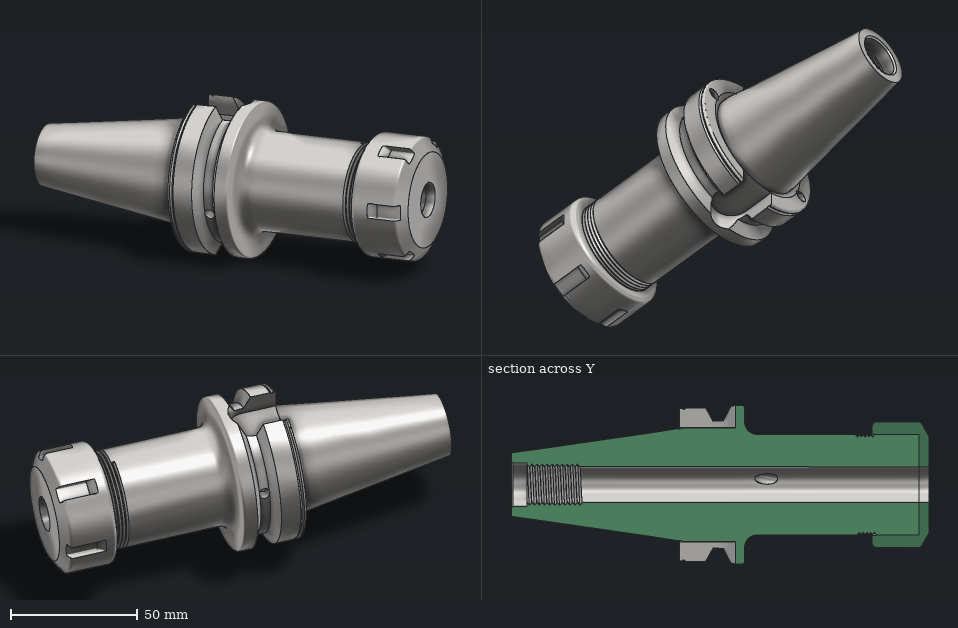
import cadquery as cq
import math


TAPER_LENGTH = 65.4
GAUGE_RADIUS = 44.45 / 2
TAPER_END_RADIUS = GAUGE_RADIUS - TAPER_LENGTH * 7 / 48
TAPER_END_X = -TAPER_LENGTH

FLANGE_START_X = 1.0
FLANGE_END_X = 27.0
FLANGE_RADIUS = 31.5
FLANGE_ROUNDING = 1.0
GROOVE_CENTRE_X = 16.5
GROOVE_FLOOR_RADIUS = 26.5
GROOVE_FLOOR_WIDTH = 4.0
GROOVE_FLANK_ANGLE = 30.0
GROOVE_TOP_WIDTH = (
    GROOVE_FLOOR_WIDTH
    + 2 * (FLANGE_RADIUS - GROOVE_FLOOR_RADIUS) * math.tan(math.radians(GROOVE_FLANK_ANGLE))
)

MARK_GROOVE_START_X = 2.05
MARK_GROOVE_WIDTH = 1.5
MARK_GROOVE_DEPTH = 0.6

UNDERCUT_RADIUS = 24.6
UNDERCUT_DEPTH = 1.0

KEYWAY_WIDTH = 16.3
KEYWAY_FLOOR_Z = 22.6
KEYWAY_END_X = 23.3

COOLANT_HOLE_DIAMETER = 4.5
COOLANT_PITCH_RADIUS = 26.9
COOLANT_SLOPE = 30.0
COOLANT_ANGLE = 20.0
PLUG_HOLE_DIAMETER = 4.2
COOLANT_RADIUS_AT_PLUG = COOLANT_PITCH_RADIUS - (
    (GROOVE_CENTRE_X - FLANGE_START_X) * math.tan(math.radians(COOLANT_SLOPE))
)

NECK_RADIUS = 20.0
NECK_FILLET = 5.0
THREAD_START_X = 71.6
THREAD_PITCH = 1.5
THREAD_DEPTH = 1.0
THREAD_OPENING = 0.94
THREAD_OVERCUT = 0.05

OVERALL_END_X = 100.0
NUT_START_X = 77.3
NUT_RADIUS = 25.0
NUT_REAR_ROUNDING = 2.0
NUT_FRONT_ROUNDING = 1.5
NUT_FRONT_RADIUS = 19.2
NUT_CONE_ANGLE = 60.0
NUT_CONE_LENGTH = (NUT_RADIUS - NUT_FRONT_RADIUS) / math.tan(math.radians(NUT_CONE_ANGLE))
NUT_LIP = 4.0

SLOT_COUNT = 6
SLOT_WIDTH = 6.0
SLOT_FLOOR_RADIUS = 22.3
SHORT_SLOT_START_X = 84.8
LONG_SLOT_START_X = 82.3
SLOT_RUNOUT = 3.1
SLOT_CORNER_FILLET = 0.4

BORE_RADIUS = 7.0
STUD_PILOT_RADIUS = 8.5
STUD_PILOT_DEPTH = 6.2
BORE_CHAMFER = 0.75
STUD_THREAD_PITCH = 2.0
STUD_THREAD_DEPTH = 1.0
STUD_THREAD_LENGTH = 22.0

HOLDER_END_X = OVERALL_END_X - NUT_LIP
OUTSIDE = 10.0


def revolve_about_x(profile):
    return profile.close().revolve(360, (0, 0, 0), (1, 0, 0))


def cylinder_along_x(start_x, end_x, radius):
    return cq.Workplane("YZ", origin=(start_x, 0, 0)).circle(radius).extrude(end_x - start_x)


def round_edge(body, x, radius):
    """Fillet the circular edge whose centre lies on the axis at x."""
    margin = 0.05
    near_x = cq.selectors.BoxSelector((x - margin, -margin, -margin), (x + margin, margin, margin))
    return body.edges(near_x).fillet(radius)


def helical_groove(start_x, length, pitch, root_radius, crest_radius):
    """Left-hand V-shaped thread groove as a cutter along X, starting on the +Z side.

    The cutter is widened past the crest radius so that it opens fully through the surface.
    """
    direction = math.copysign(1, crest_radius - root_radius)
    crest_half = pitch * THREAD_OPENING / 2
    open_radius = crest_radius + direction * THREAD_OVERCUT
    open_half = crest_half * (1 + THREAD_OVERCUT / abs(crest_radius - root_radius))
    helix = cq.Wire.makeHelix(pitch, length, min(root_radius, crest_radius), lefthand=True)
    cutter = (
        cq.Workplane("XZ")
        .moveTo(root_radius, 0)
        .lineTo(open_radius, open_half)
        .lineTo(open_radius, -open_half)
        .close()
        .sweep(cq.Workplane(helix), isFrenet=True)
    )
    along_x = cutter.rotate((0, 0, 0), (0, 1, 0), 90).rotate((0, 0, 0), (1, 0, 0), 180)
    return along_x.translate((start_x, 0, 0))


def holder_blank():
    half_top = GROOVE_TOP_WIDTH / 2
    half_floor = GROOVE_FLOOR_WIDTH / 2
    profile = (
        cq.Workplane("XY")
        .moveTo(TAPER_END_X, 0)
        .lineTo(TAPER_END_X, TAPER_END_RADIUS)
        .lineTo(0, GAUGE_RADIUS)
        .lineTo(FLANGE_START_X + UNDERCUT_DEPTH, GAUGE_RADIUS)
        .lineTo(FLANGE_START_X, UNDERCUT_RADIUS)
        .lineTo(FLANGE_START_X, FLANGE_RADIUS - FLANGE_ROUNDING)
        .radiusArc((FLANGE_START_X + FLANGE_ROUNDING, FLANGE_RADIUS), FLANGE_ROUNDING)
        .lineTo(MARK_GROOVE_START_X, FLANGE_RADIUS)
        .lineTo(MARK_GROOVE_START_X + MARK_GROOVE_WIDTH / 2, FLANGE_RADIUS - MARK_GROOVE_DEPTH)
        .lineTo(MARK_GROOVE_START_X + MARK_GROOVE_WIDTH, FLANGE_RADIUS)
        .lineTo(GROOVE_CENTRE_X - half_top, FLANGE_RADIUS)
        .lineTo(GROOVE_CENTRE_X - half_floor, GROOVE_FLOOR_RADIUS)
        .lineTo(GROOVE_CENTRE_X + half_floor, GROOVE_FLOOR_RADIUS)
        .lineTo(GROOVE_CENTRE_X + half_top, FLANGE_RADIUS)
        .lineTo(FLANGE_END_X - FLANGE_ROUNDING, FLANGE_RADIUS)
        .radiusArc((FLANGE_END_X, FLANGE_RADIUS - FLANGE_ROUNDING), FLANGE_ROUNDING)
        .lineTo(FLANGE_END_X, NECK_RADIUS + NECK_FILLET)
        .radiusArc((FLANGE_END_X + NECK_FILLET, NECK_RADIUS), -NECK_FILLET)
        .lineTo(HOLDER_END_X, NECK_RADIUS)
        .lineTo(HOLDER_END_X, 0)
    )
    return revolve_about_x(profile)


def keyway(side):
    """Round-ended drive keyway; side is +1 for +Z and -1 for -Z."""
    half_width = KEYWAY_WIDTH / 2
    outline = (
        cq.Workplane("XY", origin=(0, 0, side * KEYWAY_FLOOR_Z))
        .moveTo(0, -half_width)
        .lineTo(KEYWAY_END_X - half_width, -half_width)
        .threePointArc((KEYWAY_END_X, 0), (KEYWAY_END_X - half_width, half_width))
        .lineTo(0, half_width)
        .close()
    )
    return outline.extrude(side * OUTSIDE)


def coolant_hole(angle):
    """Sloping hole that starts outside the flange face and ends at the holder axis."""
    slope = math.radians(COOLANT_SLOPE)
    direction = cq.Vector(math.cos(slope), -math.sin(slope), 0)
    face_point = cq.Vector(FLANGE_START_X, COOLANT_PITCH_RADIUS, 0)
    lead_in = COOLANT_HOLE_DIAMETER
    length = lead_in + COOLANT_PITCH_RADIUS / math.sin(slope)
    hole = cq.Solid.makeCylinder(
        COOLANT_HOLE_DIAMETER / 2, length, face_point - direction * lead_in, direction
    )
    return cq.Workplane(hole).rotate((0, 0, 0), (1, 0, 0), angle)


def plug_hole(angle):
    hole = cq.Solid.makeCylinder(
        PLUG_HOLE_DIAMETER / 2,
        FLANGE_RADIUS - COOLANT_RADIUS_AT_PLUG,
        cq.Vector(GROOVE_CENTRE_X, COOLANT_RADIUS_AT_PLUG, 0),
        cq.Vector(0, 1, 0),
    )
    return cq.Workplane(hole).rotate((0, 0, 0), (1, 0, 0), angle)


def holder_bore():
    profile = (
        cq.Workplane("XY")
        .moveTo(TAPER_END_X, 0)
        .lineTo(TAPER_END_X, STUD_PILOT_RADIUS + BORE_CHAMFER)
        .lineTo(TAPER_END_X + BORE_CHAMFER, STUD_PILOT_RADIUS)
        .lineTo(TAPER_END_X + STUD_PILOT_DEPTH, STUD_PILOT_RADIUS)
        .lineTo(TAPER_END_X + STUD_PILOT_DEPTH, BORE_RADIUS)
        .lineTo(HOLDER_END_X, BORE_RADIUS)
        .lineTo(HOLDER_END_X, 0)
    )
    return revolve_about_x(profile)


def make_holder():
    body = holder_blank()
    for side in (1, -1):
        body = body.cut(keyway(side))
    for angle in (COOLANT_ANGLE, COOLANT_ANGLE + 180):
        body = body.cut(coolant_hole(angle)).cut(plug_hole(angle))
    neck_thread = helical_groove(
        THREAD_START_X, NUT_START_X - THREAD_START_X + THREAD_PITCH, THREAD_PITCH,
        NECK_RADIUS - THREAD_DEPTH, NECK_RADIUS,
    )
    stud_thread = helical_groove(
        TAPER_END_X + STUD_PILOT_DEPTH, STUD_THREAD_LENGTH, STUD_THREAD_PITCH,
        BORE_RADIUS + STUD_THREAD_DEPTH, BORE_RADIUS,
    )
    return body.cut(holder_bore()).cut(neck_thread).cut(stud_thread)


def nut_blank():
    cone_start_x = OVERALL_END_X - NUT_CONE_LENGTH
    profile = (
        cq.Workplane("XY")
        .moveTo(NUT_START_X, 0)
        .lineTo(NUT_START_X, NUT_RADIUS)
        .lineTo(cone_start_x, NUT_RADIUS)
        .lineTo(OVERALL_END_X, NUT_FRONT_RADIUS)
        .lineTo(OVERALL_END_X, 0)
    )
    body = revolve_about_x(profile)
    body = round_edge(body, NUT_START_X, NUT_REAR_ROUNDING)
    return round_edge(body, cone_start_x, NUT_FRONT_ROUNDING)


def spanner_slot(start_x, angle):
    """Slot open at the front of the nut, with a sloping run-out and filleted bottom corners."""
    profile = (
        cq.Workplane("XY")
        .moveTo(start_x, NUT_RADIUS)
        .lineTo(start_x + SLOT_RUNOUT, SLOT_FLOOR_RADIUS)
        .lineTo(OVERALL_END_X, SLOT_FLOOR_RADIUS)
        .lineTo(OVERALL_END_X, NUT_RADIUS + OUTSIDE)
        .lineTo(start_x, NUT_RADIUS + OUTSIDE)
        .close()
    )
    slot = profile.extrude(SLOT_WIDTH / 2, both=True)
    for side in (1, -1):
        wall_z = side * SLOT_WIDTH / 2
        bottom_corners = cq.selectors.BoxSelector(
            (start_x, 0, wall_z - SLOT_CORNER_FILLET),
            (OVERALL_END_X, NUT_RADIUS, wall_z + SLOT_CORNER_FILLET),
        )
        slot = slot.edges(bottom_corners).fillet(SLOT_CORNER_FILLET)
    return slot.rotate((0, 0, 0), (1, 0, 0), angle)


def make_nut():
    body = nut_blank()
    for index in range(SLOT_COUNT):
        angle = index * 360 / SLOT_COUNT
        on_plus_y = math.cos(math.radians(angle)) > 0
        start_x = LONG_SLOT_START_X if on_plus_y else SHORT_SLOT_START_X
        body = body.cut(spanner_slot(start_x, angle))
    body = body.cut(cylinder_along_x(NUT_START_X, HOLDER_END_X, NECK_RADIUS))
    return body.cut(cylinder_along_x(HOLDER_END_X, OVERALL_END_X, BORE_RADIUS))


holder = make_holder()
nut = make_nut()

result = cq.Compound.makeCompound([holder.solids().val(), nut.solids().val()])